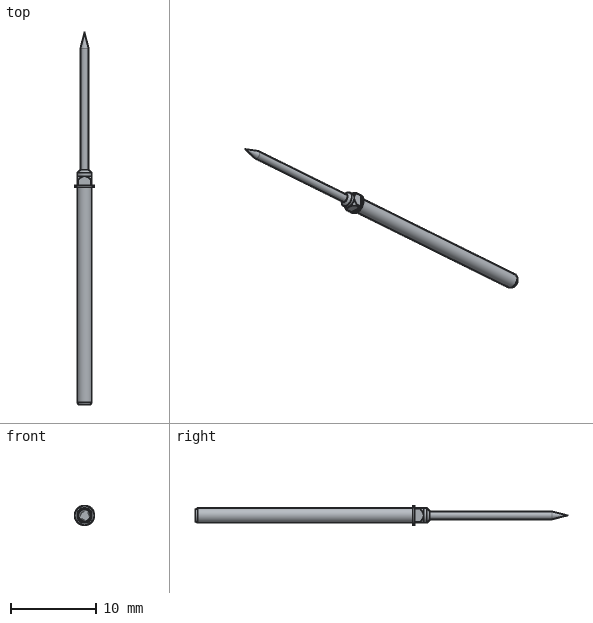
import cadquery as cq

total_length = 43.8
flange_diameter = 2.3
flange_thickness = 0.2

barrel_length = 25.6
barrel_diameter = 1.75
barrel_chamfer_length = 0.3
barrel_chamfer_depth = 0.18

key_width = barrel_diameter
key_corner_diameter = flange_diameter
key_length = 1.05
key_taper_length = 0.4

head_length = 2.0
nose_chamfer = 0.35

needle_diameter = 0.95
tip_length = 1.9

needle_tip = total_length - barrel_length


def revolve_about_y(profile_points):
    """Revolve a closed (radius, y) outline about the Y axis."""
    outline = cq.Workplane("XY").polyline(profile_points).close()
    return outline.revolve(360, (0, 0, 0), (0, 1, 0))


def rod(diameter, start, length):
    """Round rod along +Y beginning at y = start."""
    return cq.Workplane("XZ", origin=(0, start, 0)).circle(diameter / 2).extrude(-length)


def make_barrel_and_nose():
    """Round body from the chamfered rear end to the chamfered nose."""
    radius = barrel_diameter / 2
    rear_radius = radius - barrel_chamfer_depth
    return revolve_about_y([
        (0, -barrel_length),
        (rear_radius, -barrel_length),
        (radius, -barrel_length + barrel_chamfer_length),
        (radius, head_length - nose_chamfer),
        (radius - nose_chamfer, head_length),
        (0, head_length),
    ])


def make_key():
    """Four flats cut on a round blank whose front end tapers to the nose."""
    key_front = flange_thickness + key_length
    corner_radius = key_corner_diameter / 2
    blank = revolve_about_y([
        (0, 0),
        (corner_radius, 0),
        (corner_radius, key_front - key_taper_length),
        (key_width / 2, key_front),
        (0, key_front),
    ])
    square = cq.Workplane("XZ").rect(key_width, key_width).extrude(-key_front)
    return blank.intersect(square)


def make_needle():
    """Slender rod ending in a sharp cone."""
    radius = needle_diameter / 2
    return revolve_about_y([
        (0, 0),
        (radius, 0),
        (radius, needle_tip - tip_length),
        (0, needle_tip),
    ])


flange = rod(flange_diameter, 0, flange_thickness)

result = make_barrel_and_nose().union(flange).union(make_key()).union(make_needle())